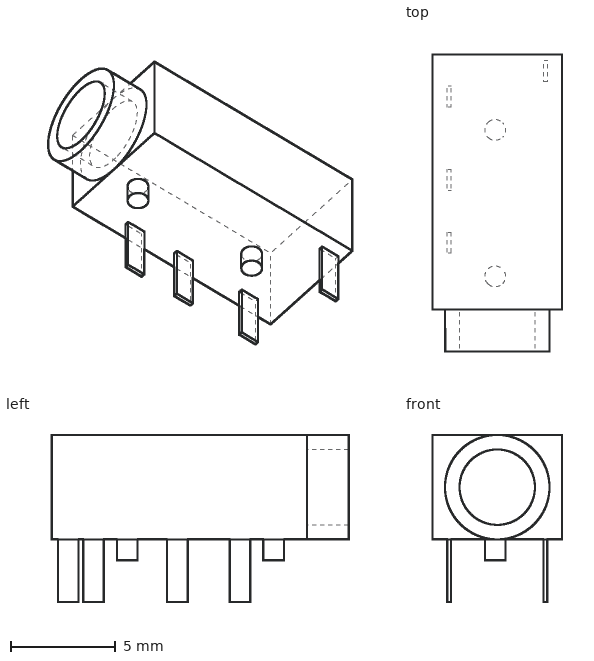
import cadquery as cq

total_length = 14.2
barrel_length = 2.0
barrel_diameter = 5.0
bore_diameter = 3.6
bore_depth = barrel_length

housing_width = 6.2
housing_height = barrel_diameter
housing_length = total_length - barrel_length

pin_length = 3.0
pin_width = 1.0
pin_thickness = 0.2
pin_row_offset = 2.3
left_pin_positions = [5.2, 8.2, 12.2]
right_pin_positions = [13.4]

peg_diameter = 1.0
peg_length = 1.0
peg_offset = -0.1
peg_positions = [3.59, 10.6]


def make_housing():
    return cq.Workplane("XY").box(
        housing_width, housing_length, housing_height, centered=(True, False, False)
    ).translate((0, barrel_length, 0))


def forward_cylinder(diameter, length):
    """Cylinder on the barrel axis, running from the mouth toward +Y."""
    return (
        cq.Workplane("XZ")
        .center(0, housing_height / 2)
        .circle(diameter / 2)
        .extrude(-length)
    )


def make_pins(x, y_positions):
    return (
        cq.Workplane("XY")
        .pushPoints([(x, y) for y in y_positions])
        .rect(pin_thickness, pin_width)
        .extrude(-pin_length)
    )


def make_pegs():
    return (
        cq.Workplane("XY")
        .pushPoints([(peg_offset, y) for y in peg_positions])
        .circle(peg_diameter / 2)
        .extrude(-peg_length)
    )


result = (
    make_housing()
    .union(forward_cylinder(barrel_diameter, barrel_length))
    .cut(forward_cylinder(bore_diameter, bore_depth))
    .union(make_pins(-pin_row_offset, left_pin_positions))
    .union(make_pins(pin_row_offset, right_pin_positions))
    .union(make_pegs())
)